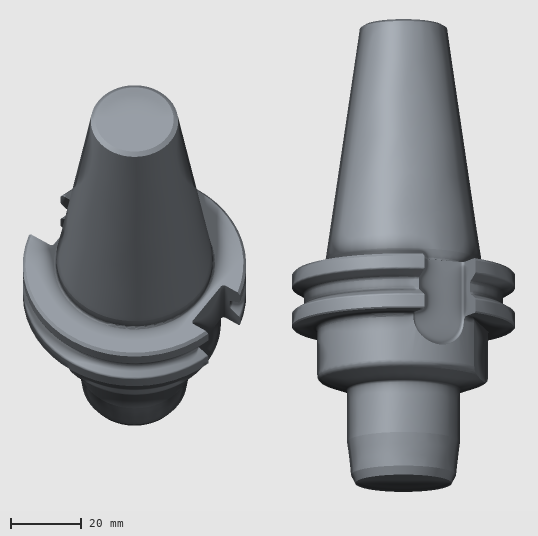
import cadquery as cq
import math

total_height = 131.8
flange_bottom = 44.8
flange_top = 60.6
gauge_height = 63.8

gauge_radius = 44.4 / 2
taper_slope = 7 / 48
top_edge_chamfer_width = 1.2
top_edge_chamfer_height = 0.8
shank_root_fillet = 0.7

flange_radius = 63.4 / 2
flange_top_chamfer = 0.8
flange_bottom_chamfer = 0.4
groove_radius = 28.2
groove_middle = 52.6
groove_floor_width = 3.3
groove_edge_fillet = 0.8
groove_flank_angle = math.radians(30)

collar_radius = 24.5
collar_root_fillet = 1.2
collar_cone_angle = math.radians(20)
collar_edge_fillet = 2.0

nose_radius = 32.0 / 2
nose_top = 26.7
nose_root_fillet = 0.7
nose_taper_top = 11.9
nose_tip_radius = 14.9
nose_chamfer_top = 2.4
nose_end_radius = 13.7

slot_width = 16.1
slot_round_center = 44.0
slot_floor_fillet = 0.9
left_floor_distance = 22.7
right_floor_distance = 24.8

flat_distance = 22.4
flat_direction = 233.4


def make_turned_body():
    """Revolve the half section of shank, flange, collar and nose about Z."""
    top_radius = gauge_radius - (total_height - gauge_height) * taper_slope
    chamfer_base = total_height - top_edge_chamfer_height
    chamfer_base_radius = gauge_radius - (chamfer_base - gauge_height) * taper_slope
    flank_height = (flange_radius - groove_radius) * math.tan(groove_flank_angle)
    floor_low = groove_middle - groove_floor_width / 2
    floor_high = groove_middle + groove_floor_width / 2

    cone_edge = nose_top + (collar_radius - nose_radius) * math.tan(collar_cone_angle)
    fillet_turn = math.pi / 2 - collar_cone_angle
    fillet_tangent = collar_edge_fillet * math.tan(fillet_turn / 2)
    fillet_center = (collar_radius - collar_edge_fillet, cone_edge + fillet_tangent)

    nose_tangent = nose_root_fillet * math.tan(fillet_turn / 2)
    nose_fillet_center = (nose_radius + nose_root_fillet, nose_top - nose_tangent)

    def nose_fillet_point(angle):
        return (
            nose_fillet_center[0] - nose_root_fillet * math.cos(angle),
            nose_fillet_center[1] + nose_root_fillet * math.sin(angle),
        )

    def edge_fillet_point(angle):
        return (
            fillet_center[0] + collar_edge_fillet * math.cos(angle),
            fillet_center[1] - collar_edge_fillet * math.sin(angle),
        )

    def root_fillet_middle(wall_radius, wall_height, radius, side):
        inset = radius * (1 - math.sqrt(0.5))
        return (wall_radius + inset, wall_height + side * inset)

    section = (
        cq.Workplane("XZ")
        .moveTo(0, 0)
        .lineTo(nose_end_radius, 0)
        .lineTo(nose_tip_radius, nose_chamfer_top)
        .lineTo(nose_radius, nose_taper_top)
        .lineTo(*nose_fillet_point(0))
        .threePointArc(nose_fillet_point(fillet_turn / 2), nose_fillet_point(fillet_turn))
        .lineTo(*edge_fillet_point(fillet_turn))
        .threePointArc(edge_fillet_point(fillet_turn / 2), edge_fillet_point(0))
        .lineTo(collar_radius, flange_bottom - collar_root_fillet)
        .threePointArc(
            root_fillet_middle(collar_radius, flange_bottom, collar_root_fillet, -1),
            (collar_radius + collar_root_fillet, flange_bottom),
        )
        .lineTo(flange_radius - flange_bottom_chamfer, flange_bottom)
        .lineTo(flange_radius, flange_bottom + flange_bottom_chamfer)
        .lineTo(flange_radius, floor_low - flank_height)
        .lineTo(groove_radius, floor_low)
        .lineTo(groove_radius, floor_high)
        .lineTo(flange_radius, floor_high + flank_height)
        .lineTo(flange_radius, flange_top - flange_top_chamfer)
        .lineTo(flange_radius - flange_top_chamfer, flange_top)
        .lineTo(gauge_radius + shank_root_fillet, flange_top)
        .threePointArc(
            root_fillet_middle(gauge_radius, flange_top, shank_root_fillet, 1),
            (gauge_radius, flange_top + shank_root_fillet),
        )
        .lineTo(gauge_radius, gauge_height)
        .lineTo(chamfer_base_radius, chamfer_base)
        .lineTo(top_radius - top_edge_chamfer_width, total_height)
        .lineTo(0, total_height)
        .close()
    )
    body = section.revolve(360, (0, 0, 0), (0, 1, 0))

    axis_reach = groove_radius / 2
    groove_edges = cq.selectors.BoxSelector(
        (-axis_reach, -axis_reach, flange_bottom + 2 * flange_bottom_chamfer),
        (axis_reach, axis_reach, flange_top - 2 * flange_top_chamfer),
    )
    return body.edges(groove_edges).fillet(groove_edge_fillet)


def make_slot_cutter(floor_distance, side):
    """Round-ended slot cutter; side is +1 for +X and -1 for -X."""
    half_width = slot_width / 2
    cutter = (
        cq.Workplane("YZ", origin=(side * floor_distance, 0, 0))
        .moveTo(-half_width, flange_top)
        .lineTo(-half_width, slot_round_center)
        .threePointArc((0, slot_round_center - half_width), (half_width, slot_round_center))
        .lineTo(half_width, flange_top)
        .close()
        .extrude(side * flange_radius)
    )
    floor_face = "<X" if side > 0 else ">X"
    floor_edges = cutter.faces(floor_face).edges("not >Z")
    return floor_edges.fillet(slot_floor_fillet)


def make_flat_cutter():
    """Block that trims one side of the collar below the flange."""
    return (
        cq.Workplane("XY")
        .box(collar_radius, 2 * collar_radius, flange_bottom, centered=(False, True, False))
        .translate((flat_distance, 0, 0))
        .rotate((0, 0, 0), (0, 0, 1), flat_direction)
    )


result = (
    make_turned_body()
    .cut(make_flat_cutter())
    .cut(make_slot_cutter(left_floor_distance, -1))
    .cut(make_slot_cutter(right_floor_distance, 1))
)